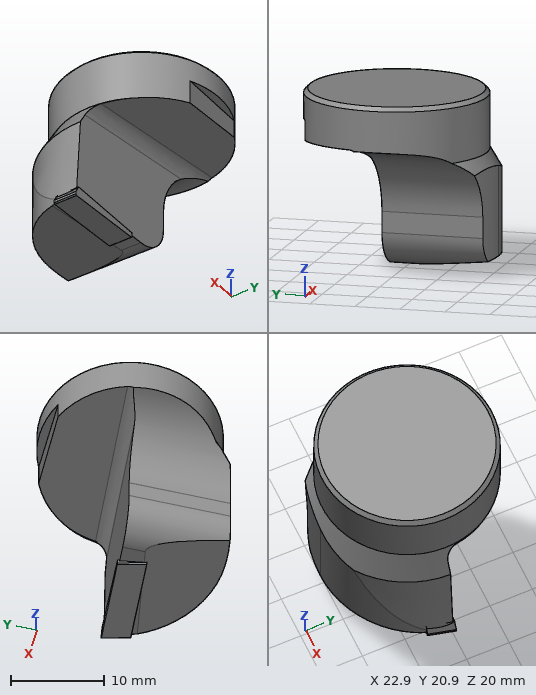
import cadquery as cq
import math

HEAD_DIAMETER = 20.0
HEAD_RADIUS = HEAD_DIAMETER / 2
HEAD_CHAMFER = 0.45
HEAD_DEPTH = 6.52
FLARE_RADIUS = 11.7
FLARE_ANGLE = 30.0
FLARE_DEPTH = HEAD_DEPTH + (FLARE_RADIUS - HEAD_RADIUS) / math.tan(math.radians(FLARE_ANGLE))
SHANK_DEPTH = 19.3
SHANK_END_RADIUS = 12.42

FRONT_REACH = 10.89
FRONT_TANGENT_X = 1.49
FRONT_RIGHT_RADIUS = 10.98
FRONT_LEFT_RADIUS = 19.45

SIDE_X = -2.97
SIDE_ARC_RADIUS = 8.0
SIDE_ARC_END = -12.97
HEEL_RADIUS = 4.0
HEEL_START = HEEL_RADIUS - SHANK_DEPTH

RAKE_SLOPE = -0.07
RAKE_Y = 0.65
CEILING_SLOPE = -0.087
CEILING_Z = -5.76
CHIP_FILLET = 1.4
NOTCH_Y = 9.03
NOTCH_DEPTH = 3.2

UNDERSIDE_Z = -19.53
UNDERSIDE_X_SLOPE = -0.022
UNDERSIDE_Y_SLOPE = -0.13

INSERT_PROUD = 0.23
INSERT_DEPTH = 3.13
INSERT_LEFT = 2.88
INSERT_RIGHT = 12.85
INSERT_SHOULDER_X = 12.35
INSERT_SHOULDER_Z = -18.66
INSERT_LEFT_TOP = -19.2
INSERT_LEFT_BOTTOM = -19.85
INSERT_TIP_TOP = -19.55
INSERT_TIP_BOTTOM = -20.0
INSERT_CORNER = 0.14
INSERT_SIDE_RELIEF = 0.17
INSERT_BOTTOM_RELIEF = 0.13

CLEAR = 27.45


def oblique_prism(wire, vector):
    """Solid swept from a flat closed wire along a slanted straight vector."""
    return cq.Workplane(cq.Solid.extrudeLinear(wire, [], cq.Vector(*vector)))


def turned_blank():
    """Head, flare and slightly conical shank as one turned shape."""
    return (
        cq.Workplane("XZ")
        .moveTo(0, 0)
        .lineTo(HEAD_RADIUS - HEAD_CHAMFER, 0)
        .lineTo(HEAD_RADIUS, -HEAD_CHAMFER)
        .lineTo(HEAD_RADIUS, -HEAD_DEPTH)
        .lineTo(FLARE_RADIUS, -FLARE_DEPTH)
        .lineTo(SHANK_END_RADIUS, -SHANK_DEPTH)
        .lineTo(0, -SHANK_DEPTH)
        .close()
        .revolve(360, (0, 0, 0), (0, 1, 0))
    )


def front_wall():
    """Prism that limits the front of the shank with a wide left arc and a tighter right arc."""
    left_x = FRONT_TANGENT_X - FRONT_LEFT_RADIUS
    left_y = FRONT_LEFT_RADIUS - FRONT_REACH
    right_x = FRONT_TANGENT_X + FRONT_RIGHT_RADIUS
    right_y = FRONT_RIGHT_RADIUS - FRONT_REACH
    return (
        cq.Workplane("XY")
        .moveTo(left_x, left_y)
        .radiusArc((FRONT_TANGENT_X, -FRONT_REACH), -FRONT_LEFT_RADIUS)
        .radiusArc((right_x, right_y), -FRONT_RIGHT_RADIUS)
        .lineTo(right_x, CLEAR)
        .lineTo(left_x, CLEAR)
        .close()
        .extrude(-CLEAR)
    )


def side_cut():
    """Material removed on the left: concave arc, straight wall and rounded heel."""
    arc_x = SIDE_X - SIDE_ARC_RADIUS
    return (
        cq.Workplane("XZ")
        .moveTo(-CLEAR, SIDE_ARC_END + SIDE_ARC_RADIUS)
        .lineTo(arc_x, SIDE_ARC_END + SIDE_ARC_RADIUS)
        .radiusArc((SIDE_X, SIDE_ARC_END), SIDE_ARC_RADIUS)
        .lineTo(SIDE_X, HEEL_START)
        .radiusArc((SIDE_X + HEEL_RADIUS, -SHANK_DEPTH), -HEEL_RADIUS)
        .lineTo(SIDE_X + HEEL_RADIUS, -CLEAR)
        .lineTo(-CLEAR, -CLEAR)
        .close()
        .extrude(CLEAR, both=True)
    )


def chip_space():
    """Space behind the rake face, filleted into its ceiling, sloping down along X."""
    wall_y = RAKE_Y - RAKE_SLOPE * CLEAR
    ceiling_z = CEILING_Z - CEILING_SLOPE * CLEAR
    profile = (
        cq.Workplane("YZ", origin=(-CLEAR, 0, 0))
        .moveTo(wall_y, -CLEAR)
        .lineTo(wall_y, ceiling_z - CHIP_FILLET)
        .radiusArc((wall_y + CHIP_FILLET, ceiling_z), CHIP_FILLET)
        .lineTo(CLEAR, ceiling_z)
        .lineTo(CLEAR, -CLEAR)
        .close()
    )
    length = 2 * CLEAR
    return oblique_prism(profile.val(), (length, RAKE_SLOPE * length, CEILING_SLOPE * length))


def back_notch():
    """Flat notch at the back of the head."""
    return cq.Workplane("XY").box(2 * CLEAR, CLEAR, CLEAR, centered=(True, False, False)).translate(
        (0, NOTCH_Y, -NOTCH_DEPTH - CLEAR)
    )


def underside_cut():
    """Everything below the sloping underside of the shank."""
    normal = (-UNDERSIDE_X_SLOPE, -UNDERSIDE_Y_SLOPE, 1)
    plane = cq.Plane(origin=(0, 0, UNDERSIDE_Z), normal=normal)
    return cq.Workplane(plane).rect(2 * CLEAR, 2 * CLEAR).extrude(-CLEAR)


def make_insert():
    """Cutting insert: outline on its rake plane, swept forward with relief."""
    outline = [
        (INSERT_LEFT, INSERT_LEFT_TOP),
        (INSERT_LEFT, INSERT_LEFT_BOTTOM + INSERT_CORNER),
        (INSERT_LEFT + INSERT_CORNER, INSERT_LEFT_BOTTOM),
        (INSERT_RIGHT - INSERT_CORNER, INSERT_TIP_BOTTOM),
        (INSERT_RIGHT, INSERT_TIP_BOTTOM + INSERT_CORNER),
        (INSERT_RIGHT, INSERT_TIP_TOP),
        (INSERT_SHOULDER_X, INSERT_SHOULDER_Z),
    ]
    face_y = RAKE_Y + INSERT_PROUD
    points = [cq.Vector(x, face_y + RAKE_SLOPE * x, z) for x, z in outline]
    wire = cq.Wire.makePolygon(points, close=True)
    sweep = (-INSERT_SIDE_RELIEF * INSERT_DEPTH, -INSERT_DEPTH, INSERT_BOTTOM_RELIEF * INSERT_DEPTH)
    return oblique_prism(wire, sweep)


def make_body(insert):
    """Tool body with a seat matching the insert."""
    body = turned_blank().intersect(front_wall())
    for cutter in (side_cut(), chip_space(), back_notch(), underside_cut(), insert):
        body = body.cut(cutter)
    return body


insert = make_insert()
body = make_body(insert)

result = cq.Compound.makeCompound([*body.solids().vals(), insert.val()])